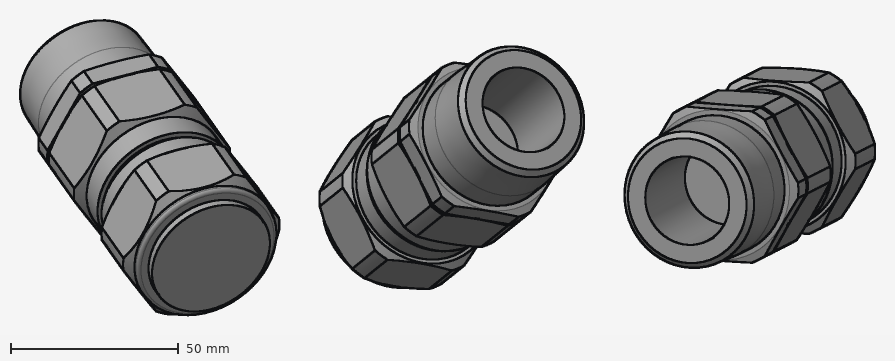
import cadquery as cq
import math

TOTAL_LENGTH = 98.45

HEX_ACROSS_FLATS = 46.0
HEX_CORNER_RADIUS = 25.3
HEX_FACE_RADIUS = 22.7

ENTRY_TIP_RADIUS = 18.9
ENTRY_CHAMFER_LENGTH = 1.7
ENTRY_TAPER_START_RADIUS = 20.7
ENTRY_TAPER_END = 16.9
ENTRY_RADIUS = 21.2
BORE_RADIUS = 13.4
BORE_DEPTH = 33.3

LOCK_HEX_START = 25.9
LOCK_HEX_END = 33.3
LOCK_CONE_LENGTH = 0.7
BODY_HEX_CORNER_END = 53.6
BODY_HEX_END = 55.6
BODY_CONE_LENGTH = 1.3

COLLAR_RADIUS = 22.1
COLLAR_END = 63.9
GROOVE_RADIUS = 20.3
GROOVE_END = 64.5
SLEEVE_RADIUS = 21.5
SLEEVE_CHAMFER = 1.1

CAP_HEX_START = 73.05
CAP_HEX_CORNER_END = 91.1
CAP_HEX_END = 93.6
CAP_CONE_LENGTH = 1.5
RIM_END = 95.8
RIM_ROUNDING = 1.2
TAIL_RADIUS = 19.1


def cylinder(start, end, radius):
    """Round section along X."""
    return cq.Workplane("YZ").workplane(offset=start).circle(radius).extrude(end - start)


def revolved(profile):
    """Turned body from (X, radius) points, closed along the X axis."""
    outline = [(profile[0][0], 0), *profile, (profile[-1][0], 0)]
    return cq.Workplane("XY").polyline(outline).close().revolve(360, (0, 0), (1, 0))


def hexagon(turned_profile):
    """Hexagon with flats facing +Z and -Z, its corners turned down to the profile."""
    start = turned_profile[0][0]
    end = turned_profile[-1][0]
    across_corners = HEX_ACROSS_FLATS / math.cos(math.pi / 6)
    prism = cq.Workplane("YZ").workplane(offset=start).polygon(6, across_corners).extrude(end - start)
    return prism.intersect(revolved(turned_profile))


entry = revolved([
    (0, ENTRY_TIP_RADIUS),
    (ENTRY_CHAMFER_LENGTH, ENTRY_TAPER_START_RADIUS),
    (ENTRY_TAPER_END, ENTRY_RADIUS),
    (LOCK_HEX_START, ENTRY_RADIUS),
])

lock_hex = hexagon([
    (LOCK_HEX_START, HEX_FACE_RADIUS),
    (LOCK_HEX_START + LOCK_CONE_LENGTH, HEX_CORNER_RADIUS),
    (LOCK_HEX_END, HEX_CORNER_RADIUS),
])

body_hex = hexagon([
    (LOCK_HEX_END, HEX_FACE_RADIUS),
    (LOCK_HEX_END + BODY_CONE_LENGTH, HEX_CORNER_RADIUS),
    (BODY_HEX_CORNER_END, HEX_CORNER_RADIUS),
    (BODY_HEX_END, COLLAR_RADIUS),
])

collar = cylinder(BODY_HEX_END, COLLAR_END, COLLAR_RADIUS)
groove = cylinder(COLLAR_END, GROOVE_END, GROOVE_RADIUS)
sleeve = cylinder(GROOVE_END, CAP_HEX_START, SLEEVE_RADIUS).faces("<X").chamfer(SLEEVE_CHAMFER)

cap_hex = hexagon([
    (CAP_HEX_START, HEX_FACE_RADIUS),
    (CAP_HEX_START + CAP_CONE_LENGTH, HEX_CORNER_RADIUS),
    (CAP_HEX_CORNER_END, HEX_CORNER_RADIUS),
    (CAP_HEX_END, HEX_FACE_RADIUS),
])

rim = cylinder(CAP_HEX_END, RIM_END, HEX_FACE_RADIUS).faces(">X").edges().fillet(RIM_ROUNDING)
tail = cylinder(RIM_END, TOTAL_LENGTH, TAIL_RADIUS)

result = entry
for section in (lock_hex, body_hex, collar, groove, sleeve, cap_hex, rim, tail):
    result = result.union(section)
result = result.cut(cylinder(0, BORE_DEPTH, BORE_RADIUS))